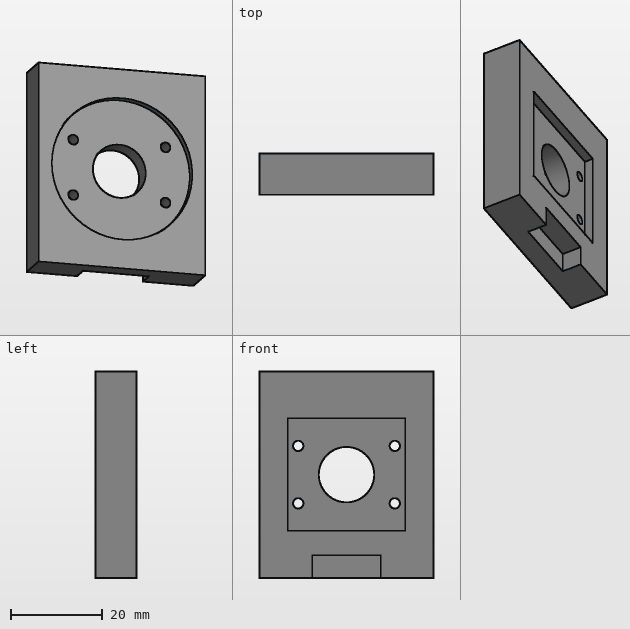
import cadquery as cq

width = 38.0
thickness = 9.0
height = 45.0

recess_width = 25.5
recess_height = 24.5
recess_depth = 2.0

bore_diameter = 12.0
screw_diameter = 2.2
screw_spacing_x = 21.0
screw_spacing_z = 12.5

counterbore_diameter = 32.0
counterbore_depth = 2.0

notch_width = 15.0
notch_height = 5.0
notch_depth = thickness / 2


def front_cut(size_x, depth, size_z, center_z):
    """Box reaching from the front face into the plate."""
    center_y = (depth - thickness) / 2
    return cq.Workplane("XY").box(size_x, depth, size_z).translate((0, center_y, center_z))


plate = cq.Workplane("XY").box(width, thickness, height)
recess = front_cut(recess_width, recess_depth, recess_height, 0)
notch = front_cut(notch_width, notch_depth, notch_height, (notch_height - height) / 2)

bore = cq.Workplane("XZ").circle(bore_diameter / 2).extrude(thickness / 2, both=True)
screw_holes = (
    cq.Workplane("XZ")
    .rarray(screw_spacing_x, screw_spacing_z, 2, 2)
    .circle(screw_diameter / 2)
    .extrude(thickness / 2, both=True)
)

counterbore = (
    cq.Workplane("XZ", origin=(0, thickness / 2, 0))
    .circle(counterbore_diameter / 2)
    .extrude(counterbore_depth)
)

result = plate.cut(recess).cut(notch).cut(bore).cut(screw_holes).cut(counterbore)